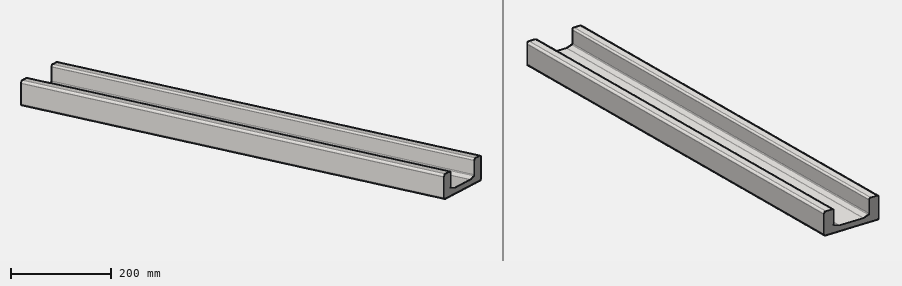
import cadquery as cq

length = 1000.0
width = 135.0
height = 53.0

wall_thickness = 24.0
floor_thickness = 13.0
ramp_width = 14.0
ramp_rise = 4.5

base_radius = 4.0
outer_radius = 5.0
rim_radius = 4.0
root_radius = 2.0

half_width = width / 2
half_opening = half_width - wall_thickness
half_floor = half_opening - ramp_width
ramp_top = floor_thickness + ramp_rise

half_section = [
    (half_width, 0),
    (half_width, height),
    (half_opening, height),
    (half_opening, ramp_top),
    (half_floor, floor_thickness),
]
mirrored_half = [(-y, z) for y, z in reversed(half_section)]

channel = (
    cq.Workplane("YZ")
    .workplane(offset=-length / 2)
    .polyline(half_section + mirrored_half)
    .close()
    .extrude(length)
)


def long_edges(body, y, z):
    """Select the pair of lengthwise edges nearest (+y, z) and (-y, z)."""
    right = cq.selectors.NearestToPointSelector((0, y, z))
    left = cq.selectors.NearestToPointSelector((0, -y, z))
    return body.edges(right + left)


channel = long_edges(channel, half_width, 0).fillet(base_radius)
channel = long_edges(channel, half_width, height).fillet(outer_radius)
channel = long_edges(channel, half_opening, height).fillet(rim_radius)
result = long_edges(channel, half_opening, ramp_top).fillet(root_radius)